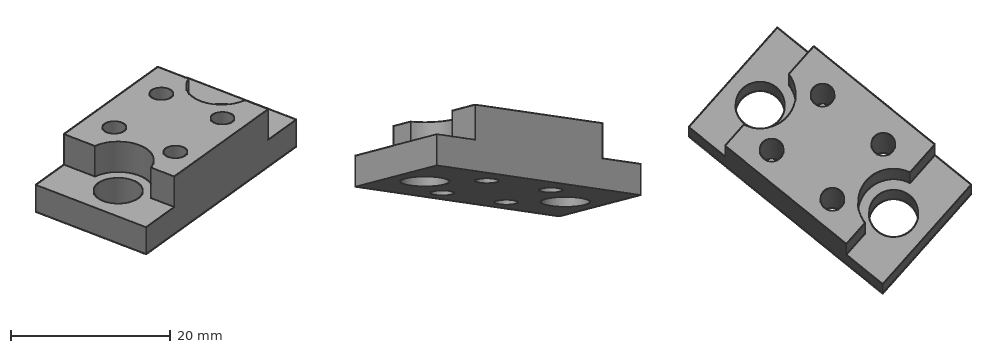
import cadquery as cq

width = 17.2
length = 32.0
flange_height = 4.0
total_height = 8.5

block_length = 20.0

mount_offset_x = 0.6
mount_spacing = 22.0
mount_diameter = 6.2
head_clearance_diameter = 8.95

small_diameter = 3.0
small_spacing_y = 10.0
left_column = (-4.4, 0.03)
right_column = (5.25, -0.15)

mount_points = [(mount_offset_x, side * mount_spacing / 2) for side in (-1, 1)]
small_points = [
    (x, y + side * small_spacing_y / 2)
    for x, y in (left_column, right_column)
    for side in (-1, 1)
]


def cylinders(points, diameter, bottom):
    """Vertical cylinders from the given level up to the top of the part."""
    height = total_height - bottom
    return cq.Workplane("XY", origin=(0, 0, bottom)).pushPoints(points).circle(diameter / 2).extrude(height)


plate = cq.Workplane("XY").box(width, length, flange_height, centered=(True, True, False))
block = cq.Workplane("XY").box(width, block_length, total_height, centered=(True, True, False))

result = (
    plate.union(block)
    .cut(cylinders(mount_points, head_clearance_diameter, flange_height))
    .cut(cylinders(mount_points, mount_diameter, 0))
    .cut(cylinders(small_points, small_diameter, 0))
)